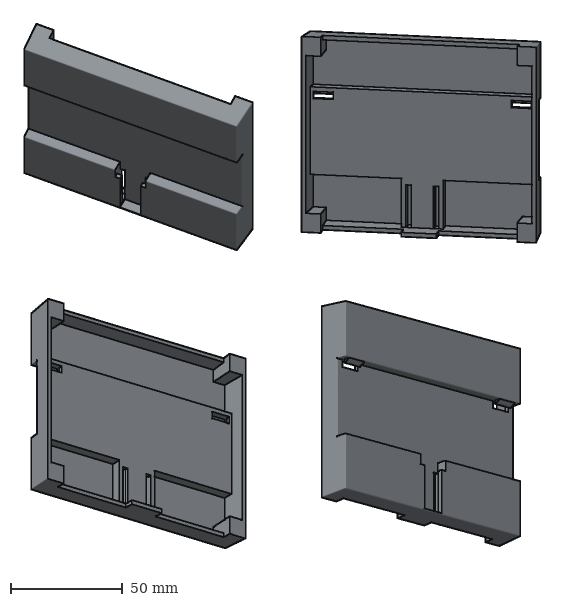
import cadquery as cq

WIDTH = 107.0
DEPTH = 15.0
HEIGHT = 90.0
WALL = 2.0
DRAFT_ANGLE = 3.5
EDGE_RADIUS = 0.5

FRONT = -DEPTH / 2
REAR = DEPTH / 2
CUT_MARGIN = 1.1

CHANNEL_HEIGHT = 36.2
CHANNEL_DEPTH = 5.1
CHANNEL_FLOOR = FRONT + CHANNEL_DEPTH
CHANNEL_TOP = CHANNEL_HEIGHT / 2

LATCH_WIDE = 15.0
LATCH_NARROW = 10.2
LATCH_SHOULDER = -23.0
LATCH_BOTTOM = -43.3
LATCH_LIP = 2.1
SLIT_BOTTOM = -42.5

NOTCH_DEPTH = 4.8
CORNER_POST = 8.8
TAB_WIDTH = 16.0

HOOK_WIDTH = 9.1
HOOK_OFFSET = 45.2
HOOK_DROP = 1.8
HOOK_TIP_DEPTH = 3.6
HOOK_ROOT_DEPTH = 0.7
OPENING_HEIGHT = 3.3


def box_between(x_range, y_range, z_range):
    """Axis-aligned block from its lower and upper limits."""
    size = [high - low for low, high in (x_range, y_range, z_range)]
    corner = (x_range[0], y_range[0], z_range[0])
    return cq.Workplane("XY").box(*size, centered=False).translate(corner)


def drafted_block(inset):
    """Block that narrows toward the front, inset from the outer skin except at the rear."""
    return (
        cq.Workplane("XZ", origin=(0, REAR, 0))
        .rect(WIDTH - 2 * inset, HEIGHT - 2 * inset)
        .extrude(DEPTH - inset, taper=DRAFT_ANGLE)
    )


def channel(growth=0.0):
    """Rail channel volume, grown by a wall thickness when needed."""
    top = CHANNEL_TOP + growth
    return box_between((-WIDTH, WIDTH), (FRONT - CUT_MARGIN, CHANNEL_FLOOR + growth), (-top, top))


def outer_body():
    """Drafted body with the rail channel, rounded along its front and side edges."""
    body = drafted_block(0).cut(channel())
    front_and_side_edges = body.faces("<Y or <X or >X").edges("not >Y")
    return front_and_side_edges.fillet(EDGE_RADIUS)


def latch_housing():
    """Solid wall around the latch slot, left standing in the cavity."""
    half = LATCH_WIDE / 2 + WALL
    return box_between((-half, half), (FRONT, CHANNEL_FLOOR + WALL), (-HEIGHT, -CHANNEL_TOP))


def corner_posts():
    """Solid posts filling the four corners of the cavity."""
    return (
        cq.Workplane("XZ", origin=(0, REAR, 0))
        .rect(WIDTH - CORNER_POST, HEIGHT - CORNER_POST, forConstruction=True)
        .vertices()
        .rect(CORNER_POST, CORNER_POST)
        .extrude(DEPTH)
    )


def cavity():
    """Hollow interior, open to the rear."""
    hollow = drafted_block(WALL)
    return hollow.cut(channel(WALL)).cut(latch_housing()).cut(corner_posts())


def rim_notches():
    """Rear cut-outs between the posts, interrupted by the lower tab."""
    half = WIDTH / 2 - CORNER_POST
    depth = (REAR - NOTCH_DEPTH, REAR + CUT_MARGIN)
    across = box_between((-half, half), depth, (-HEIGHT, HEIGHT))
    tab = box_between((-TAB_WIDTH / 2, TAB_WIDTH / 2), depth, (-HEIGHT, 0))
    return across.cut(tab)


def latch_slot():
    """Stepped slot, with side slits hidden behind the front lips."""
    wide = LATCH_WIDE / 2
    narrow = LATCH_NARROW / 2
    slot = box_between((-wide, wide), (FRONT - CUT_MARGIN, CHANNEL_FLOOR), (LATCH_SHOULDER, 0))
    stem = box_between((-narrow, narrow), (FRONT - CUT_MARGIN, CHANNEL_FLOOR), (LATCH_BOTTOM, 0))
    slits = box_between((-wide, wide), (FRONT + LATCH_LIP, REAR), (SLIT_BOTTOM, LATCH_SHOULDER))
    tongue = box_between((-narrow, narrow), (FRONT, REAR), (-HEIGHT, 0))
    return slot.union(stem).union(slits.cut(tongue))


def hook(x_center):
    """Wedge under the upper block that catches the rail edge."""
    return (
        cq.Workplane("YZ", origin=(x_center - HOOK_WIDTH / 2, 0, 0))
        .moveTo(FRONT + HOOK_ROOT_DEPTH, CHANNEL_TOP)
        .lineTo(FRONT + HOOK_TIP_DEPTH, CHANNEL_TOP - HOOK_DROP)
        .lineTo(FRONT + HOOK_TIP_DEPTH, CHANNEL_TOP)
        .close()
        .extrude(HOOK_WIDTH)
    )


def hook_opening(x_center):
    """Window through the channel floor behind a hook."""
    half = HOOK_WIDTH / 2
    return box_between(
        (x_center - half, x_center + half),
        (CHANNEL_FLOOR, REAR),
        (CHANNEL_TOP - OPENING_HEIGHT, CHANNEL_TOP),
    )


body = outer_body().cut(cavity()).cut(rim_notches()).cut(latch_slot())
for side in (-1, 1):
    body = body.cut(hook_opening(side * HOOK_OFFSET)).union(hook(side * HOOK_OFFSET))

result = body.solids()